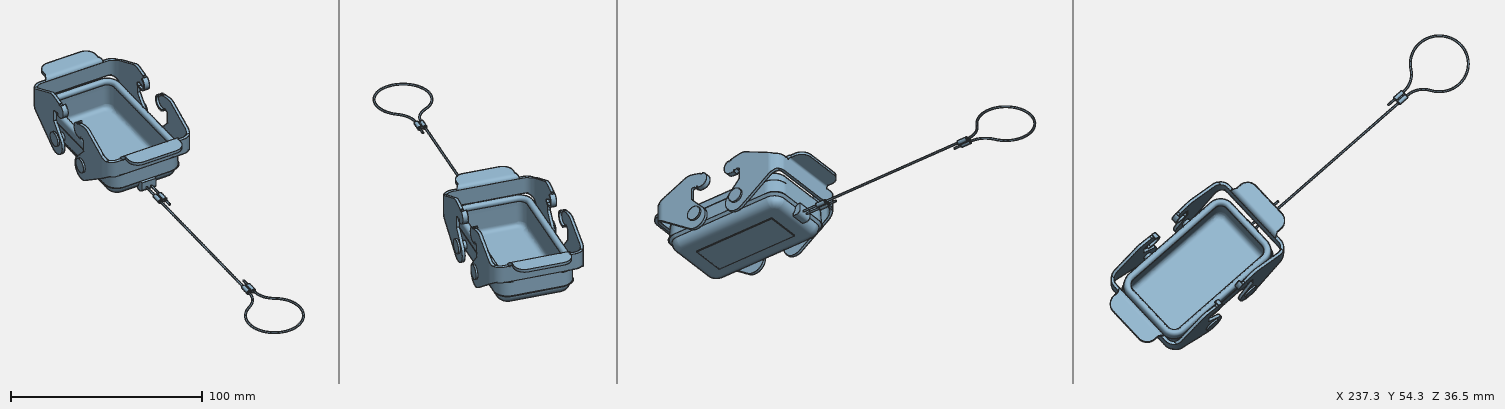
import cadquery as cq
import math


TOTAL_LENGTH, TOTAL_WIDTH = 237.3, 54.3

COVER_X, COVER_Y = 37.5, 21.8
CORNER_D = 16.0
CORNER_R = CORNER_D / 2
END_DRAFT = 0.7
SHOULDER_Z, SHOULDER_STEP = 15.2, 0.2
RIM_Z = 20.6
WALL = 3.5
RIM_BEAD_R = 2.0
SKIRT_Z = 7.1
SKIRT_INSET = 1.5
BASE_Z = 0.7
FLOOR_Z = 2.4
FLOOR_INSET = 0.2
FLOOR_FILLET = 3.0
PAD_X, PAD_Y = 24.7, 9.7

SHEET = 1.7
LEVER_X, LEVER_Y = 40.8, 26.0
STRAP_BEND_R = 6.2
STRAP_BOTTOM_Z, STRAP_TOP_Z = 18.3, 27.8
STRAP_TOP_END_X = -37.7
LOBE_X, LOBE_Z, LOBE_R = -13.3, 8.0, 6.6
PEAK_X, PEAK_Z, PEAK_HALF = -17.0, 36.5, 2.1
PEAK_DROP = 0.2
SLOT_X = -15.7
SLOT_BOTTOM_Z, SLOT_TOP_Z = 20.6, 27.8
SLOT_R = 1.0
HOOK_X, HOOK_Z, HOOK_R = -10.0, 30.9, 4.3
FLANGE_DEPTH = 3.0
FLANGE_T = 1.0
FLANGE_START = 70
FLANGE_END_X = -13.8
PIVOT_X, PIVOT_Z = 13.5, 10.5
PIVOT_D, HEAD_D = 4.7, 8.0
HEAD_Y = TOTAL_WIDTH / 2

TAB_END_X, TAB_TOP_Z = 50.5, 30.1
TAB_BEND_R = 1.2
TAB_HALF, TAB_ROOT_HALF = 16.0, 17.5
TAB_CORNER_R = 6.0

CABLE_D = 1.0
CABLE_Y, CABLE_Z = 1.5, 3.3
CRIMP_D, CRIMP_LENGTH = 2.4, 5.7
CRIMP_STARTS = (48.0, 141.0)
TAIL_ENDS = (58.5, 136.2)
LOOP_START_X = 147.1
LOOP_R = 15.2
LOOP_X = TOTAL_LENGTH - TAB_END_X - CABLE_D / 2 - LOOP_R
LUG_X, LUG_HALF, LUG_DEPTH = 39.2, 4.3, 4.7
LUG_ROUND = 2.4


def rounded_block(half_x, half_y, bottom, top, corner_r):
    """Block centred on the Z axis with rounded vertical corners."""
    block = cq.Workplane("XY").workplane(offset=bottom).rect(2 * half_x, 2 * half_y)
    return block.extrude(top - bottom).edges("|Z").fillet(corner_r)


def cylinder_along(plane_normal, start, length, diameter):
    """Cylinder that grows from start along plane_normal."""
    return cq.Workplane(cq.Plane(start, normal=plane_normal)).circle(diameter / 2).extrude(length)


def drafted_block(bottom_half, bottom, top_half, top, corner_r):
    """Rounded block whose (x, y) half sizes change from bottom to top."""
    def outline(half_x, half_y):
        return cq.Sketch().rect(2 * half_x, 2 * half_y).vertices().fillet(corner_r)

    lower, upper = outline(*bottom_half), outline(*top_half)
    return cq.Workplane("XY").placeSketch(
        lower.moved(cq.Location(cq.Vector(0, 0, bottom))), upper.moved(cq.Location(cq.Vector(0, 0, top)))
    ).loft()


def make_rim(half_x, half_y, centre_z):
    """Round bead along the top of the wall; half_x and half_y are its outer half sizes."""
    outline = rounded_block(half_x - RIM_BEAD_R, half_y - RIM_BEAD_R, centre_z, RIM_Z, CORNER_R - RIM_BEAD_R)
    path = outline.faces("<Z").wires()
    start = cq.Plane((0, half_y - RIM_BEAD_R, centre_z), xDir=(0, 1, 0), normal=(1, 0, 0))
    return cq.Workplane(start).circle(RIM_BEAD_R).sweep(path, transition="round")


def make_cover():
    base_top = SKIRT_Z - SKIRT_INSET
    rim_centre = RIM_Z - RIM_BEAD_R
    rim_x, rim_y = COVER_X - END_DRAFT, COVER_Y - SHOULDER_STEP
    draft_share = (SHOULDER_Z - SKIRT_Z) / (rim_centre - SKIRT_Z)
    shoulder_x = COVER_X - END_DRAFT * draft_share
    base_half = (COVER_X - SKIRT_INSET, COVER_Y - SKIRT_INSET)

    base = rounded_block(*base_half, BASE_Z, SKIRT_Z, CORNER_R - SKIRT_INSET)
    base = base.faces("<Z").edges().fillet(base_top - BASE_Z)
    skirt = drafted_block(base_half, base_top, (COVER_X, COVER_Y), SKIRT_Z, CORNER_R - SKIRT_INSET)
    wall = drafted_block((COVER_X, COVER_Y), SKIRT_Z, (shoulder_x, COVER_Y), SHOULDER_Z, CORNER_R)
    upper = drafted_block((shoulder_x, rim_y), SHOULDER_Z, (rim_x, rim_y), rim_centre, CORNER_R)
    pad = cq.Workplane("XY").rect(2 * PAD_X, 2 * PAD_Y).extrude(BASE_Z)

    mouth_half = (rim_x - WALL, rim_y - WALL)
    floor_half = (mouth_half[0] - FLOOR_INSET, mouth_half[1])
    cavity_r = CORNER_R - WALL
    pocket = drafted_block(floor_half, FLOOR_Z, mouth_half, SHOULDER_Z, cavity_r)
    pocket = pocket.faces("<Z").edges().fillet(FLOOR_FILLET)
    mouth = rounded_block(*mouth_half, SHOULDER_Z, RIM_Z, cavity_r)

    shell = base.union(skirt).union(wall).union(upper).union(pad).cut(pocket).cut(mouth)
    return shell.union(make_rim(rim_x, rim_y, rim_centre))


def tangent_point(x, z, side):
    """Point where the tangent from (x, z) touches the pivot lobe; side +1 or -1 picks which one."""
    dx, dz = x - LOBE_X, z - LOBE_Z
    angle = math.atan2(dz, dx) + side * math.acos(LOBE_R / math.hypot(dx, dz))
    return LOBE_X + LOBE_R * math.cos(angle), LOBE_Z + LOBE_R * math.sin(angle)


def lever_outline():
    """Side outline of the lever plate, without the hook tip."""
    strap_inner_x = SHEET - LEVER_X
    lobe_in = tangent_point(SLOT_X, SLOT_BOTTOM_Z, -1)
    lobe_out = tangent_point(strap_inner_x, STRAP_BOTTOM_Z, 1)
    arc_mid = SLOT_R * (1 - math.sqrt(0.5))
    hook_top = HOOK_Z + HOOK_R
    return (
        cq.Workplane("XZ")
        .moveTo(-LEVER_X, STRAP_BOTTOM_Z)
        .lineTo(-LEVER_X, STRAP_TOP_Z)
        .lineTo(STRAP_TOP_END_X, STRAP_TOP_Z)
        .lineTo(PEAK_X - PEAK_HALF, PEAK_Z - PEAK_DROP)
        .threePointArc((PEAK_X, PEAK_Z), (PEAK_X + PEAK_HALF, PEAK_Z - PEAK_DROP))
        .lineTo(HOOK_X, hook_top)
        .lineTo(HOOK_X, HOOK_Z)
        .lineTo(HOOK_X - HOOK_R / 2, SLOT_TOP_Z)
        .lineTo(SLOT_X + SLOT_R, SLOT_TOP_Z)
        .threePointArc((SLOT_X + arc_mid, SLOT_TOP_Z - arc_mid), (SLOT_X, SLOT_TOP_Z - SLOT_R))
        .lineTo(SLOT_X, SLOT_BOTTOM_Z)
        .lineTo(*lobe_in)
        .threePointArc((LOBE_X, LOBE_Z - LOBE_R), lobe_out)
        .lineTo(strap_inner_x, STRAP_BOTTOM_Z)
        .close()
    )


def make_tab():
    """Finger tab bent outward from the top of the strap."""
    inner_x = SHEET - LEVER_X
    outer_r = TAB_BEND_R + SHEET
    bend_x = inner_x - outer_r
    bend_z = TAB_TOP_Z - outer_r
    diagonal = math.sqrt(0.5)
    profile = (
        cq.Workplane("XZ")
        .moveTo(inner_x, bend_z)
        .threePointArc((bend_x + outer_r * diagonal, bend_z + outer_r * diagonal), (bend_x, TAB_TOP_Z))
        .lineTo(-TAB_END_X, TAB_TOP_Z)
        .lineTo(-TAB_END_X, TAB_TOP_Z - SHEET)
        .lineTo(bend_x, TAB_TOP_Z - SHEET)
        .threePointArc(
            (bend_x + TAB_BEND_R * diagonal, bend_z + TAB_BEND_R * diagonal), (-LEVER_X, bend_z)
        )
        .close()
        .extrude(TAB_ROOT_HALF, both=True)
    )
    blade_length = TAB_END_X + inner_x
    blade = (
        cq.Workplane("XY")
        .center(inner_x - blade_length / 2, 0)
        .rect(blade_length, 2 * TAB_HALF)
        .extrude(TAB_TOP_Z)
        .edges("|Z and <X")
        .fillet(TAB_CORNER_R)
    )
    flare = (
        cq.Workplane("XY")
        .moveTo(inner_x, -TAB_ROOT_HALF)
        .lineTo(inner_x, TAB_ROOT_HALF)
        .lineTo(bend_x, TAB_HALF)
        .lineTo(bend_x, -TAB_HALF)
        .close()
        .extrude(TAB_TOP_Z)
    )
    return profile.intersect(blade.union(flare))


def flange_outline():
    """Thin strip that follows the hook tip and then the top of the slot."""
    inner_r = HOOK_R - FLANGE_T
    start = math.radians(FLANGE_START)
    cos_start, sin_start = math.cos(start), math.sin(start)
    return (
        cq.Workplane("XZ")
        .moveTo(HOOK_X + HOOK_R * cos_start, HOOK_Z + HOOK_R * sin_start)
        .threePointArc((HOOK_X + HOOK_R, HOOK_Z), (HOOK_X, HOOK_Z - HOOK_R))
        .lineTo(HOOK_X - HOOK_R / 2, HOOK_Z - HOOK_R)
        .lineTo(FLANGE_END_X, SLOT_TOP_Z)
        .lineTo(FLANGE_END_X, SLOT_TOP_Z + FLANGE_T)
        .lineTo(HOOK_X - HOOK_R / 2, HOOK_Z - inner_r)
        .lineTo(HOOK_X, HOOK_Z - inner_r)
        .threePointArc(
            (HOOK_X + inner_r, HOOK_Z), (HOOK_X + inner_r * cos_start, HOOK_Z + inner_r * sin_start)
        )
        .close()
    )


def make_hook_tip():
    """Round hook tip at +Y: a disc that reaches into the flange around it."""
    tip = cylinder_along((0, -1, 0), (HOOK_X, LEVER_Y, HOOK_Z), SHEET, 2 * HOOK_R - FLANGE_T)
    flange = flange_outline().extrude(FLANGE_DEPTH).translate((0, LEVER_Y, 0))
    return tip.union(flange)


def make_pivot():
    """Headed pivot pin at +Y, seated in the cover wall."""
    head_start = (-PIVOT_X, HEAD_Y, PIVOT_Z)
    head = cylinder_along((0, -1, 0), head_start, HEAD_Y - LEVER_Y, HEAD_D)
    pin = cylinder_along((0, -1, 0), head_start, HEAD_Y - COVER_Y + WALL / 2, PIVOT_D)
    return head.union(pin)


def make_lever():
    """Lever on the -X side: bent strap, finger tab, hook tips and pivot pins."""
    outer = rounded_block(LEVER_X, LEVER_Y, 0, PEAK_Z, STRAP_BEND_R)
    inner = rounded_block(LEVER_X - SHEET, LEVER_Y - SHEET, 0, PEAK_Z, STRAP_BEND_R - SHEET)
    strap = outer.cut(inner).intersect(lever_outline().extrude(LEVER_Y, both=True))
    side_parts = make_hook_tip().union(make_pivot())
    return strap.union(make_tab()).union(side_parts).union(side_parts.mirror("XZ"))


def make_lug():
    """Block on the +X end of the cover that holds the cable."""
    height = SKIRT_Z - BASE_Z
    return (
        cq.Workplane("XY")
        .box(LUG_DEPTH, 2 * LUG_HALF, height)
        .edges(">X and <Z")
        .fillet(LUG_ROUND)
        .translate((LUG_X - LUG_DEPTH / 2, 0, BASE_Z + height / 2))
    )


def strand(start_x, end_x, y):
    """Straight piece of cable parallel to X."""
    return cylinder_along((1, 0, 0), (start_x, y, CABLE_Z), end_x - start_x, CABLE_D)


def make_loop():
    """Teardrop loop: two neck arcs that blend smoothly into one large arc."""
    reach = LOOP_X - LOOP_START_X
    neck_r = (reach**2 + CABLE_Y**2 - LOOP_R**2) / (2 * (LOOP_R - CABLE_Y))
    neck_y = CABLE_Y + neck_r
    blend = neck_r / (neck_r + LOOP_R)
    blend_x = LOOP_START_X + reach * blend
    blend_y = neck_y * (1 - blend)
    half_sweep = math.atan2(reach, neck_y) / 2
    neck_mid_x = LOOP_START_X + neck_r * math.sin(half_sweep)
    neck_mid_y = neck_y - neck_r * math.cos(half_sweep)
    path = (
        cq.Workplane("XY", origin=(0, 0, CABLE_Z))
        .moveTo(LOOP_START_X, -CABLE_Y)
        .threePointArc((neck_mid_x, -neck_mid_y), (blend_x, -blend_y))
        .threePointArc((LOOP_X + LOOP_R, 0), (blend_x, blend_y))
        .threePointArc((neck_mid_x, neck_mid_y), (LOOP_START_X, CABLE_Y))
    )
    section = cq.Workplane(cq.Plane((LOOP_START_X, -CABLE_Y, CABLE_Z), normal=(1, 0, 0)))
    return section.circle(CABLE_D / 2).sweep(path)


def make_cable():
    cover_tail, loop_tail = TAIL_ENDS
    lug_middle = LUG_X - LUG_DEPTH / 2
    cable = make_loop()
    cable = cable.union(strand(lug_middle, LOOP_START_X, -CABLE_Y))
    cable = cable.union(strand(lug_middle, cover_tail, CABLE_Y))
    cable = cable.union(strand(loop_tail, LOOP_START_X, CABLE_Y))
    for crimp_x in CRIMP_STARTS:
        bridge = cq.Workplane("XY").box(CRIMP_LENGTH, 2 * CABLE_Y, CABLE_D)
        crimp = bridge.translate((crimp_x + CRIMP_LENGTH / 2, 0, CABLE_Z))
        for y in (-CABLE_Y, CABLE_Y):
            crimp = crimp.union(cylinder_along((1, 0, 0), (crimp_x, y, CABLE_Z), CRIMP_LENGTH, CRIMP_D))
        cable = cable.union(crimp)
    return cable


lever = make_lever()
result = make_cover().union(lever).union(lever.mirror("YZ")).union(make_lug()).union(make_cable())